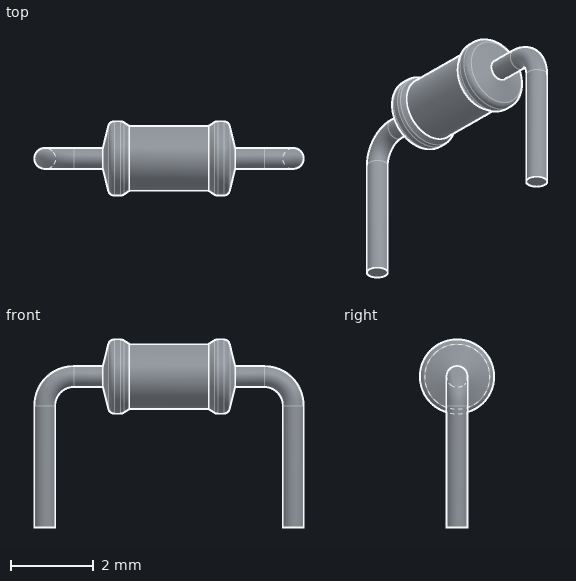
import cadquery as cq


body_length = 3.2
barrel_diameter = 1.57
cap_diameter = 1.8
cap_rim_round = 0.15
barrel_length = 1.91
cap_inner_span = 2.255
cap_outer_span = 2.88

lead_diameter = 0.51
lead_pitch = 6.0
bend_radius = 0.7
overall_height = 4.55

barrel_radius = barrel_diameter / 2
cap_radius = cap_diameter / 2
lead_radius = lead_diameter / 2
lead_x = lead_pitch / 2
lead_drop = overall_height - cap_radius


def make_body():
    """Barrel with two flared caps, each closed by a shallow end cone."""
    right_side = [
        (barrel_length / 2, barrel_radius),
        (cap_inner_span / 2, cap_radius),
        (cap_outer_span / 2, cap_radius),
        (body_length / 2, lead_radius),
        (body_length / 2, 0),
    ]
    left_side = [(-x, r) for x, r in reversed(right_side)]
    body = (
        cq.Workplane("XY")
        .polyline(left_side + right_side)
        .close()
        .revolve(360, (0, 0, 0), (1, 0, 0))
    )
    cap_rims = cq.selectors.RadiusNthSelector(-1)
    return body.edges(cap_rims).fillet(cap_rim_round)


def make_leads():
    """One continuous wire through the body, bent down at both ends."""
    path = (
        cq.Workplane("XZ")
        .moveTo(-lead_x, -lead_drop)
        .lineTo(-lead_x, -bend_radius)
        .tangentArcPoint((-lead_x + bend_radius, 0), relative=False)
        .lineTo(lead_x - bend_radius, 0)
        .tangentArcPoint((lead_x, -bend_radius), relative=False)
        .lineTo(lead_x, -lead_drop)
    )
    return (
        cq.Workplane("XY", origin=(-lead_x, 0, -lead_drop))
        .circle(lead_radius)
        .sweep(path)
    )


result = make_body().union(make_leads())